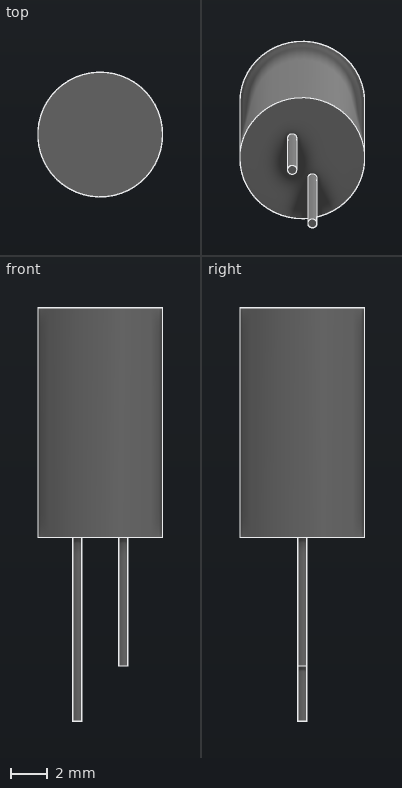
import cadquery as cq

can_diameter = 6.8
can_height = 12.5

lead_diameter = 0.5
lead_pitch = 2.5
long_lead_length = 10.0
short_lead_length = 7.0


def make_can():
    """Plain cylinder with its flat underside at Z = 0."""
    return cq.Workplane("XY").circle(can_diameter / 2).extrude(can_height)


def make_lead(x_position, length):
    """Straight wire running down from the underside of the can."""
    return cq.Workplane("XY").center(x_position, 0).circle(lead_diameter / 2).extrude(-length)


can = make_can()

lead_layout = [
    (-lead_pitch / 2, long_lead_length),
    (lead_pitch / 2, short_lead_length),
]
leads = [make_lead(x_position, length) for x_position, length in lead_layout]

result = cq.Compound.makeCompound([can.val(), *[lead.val() for lead in leads]])